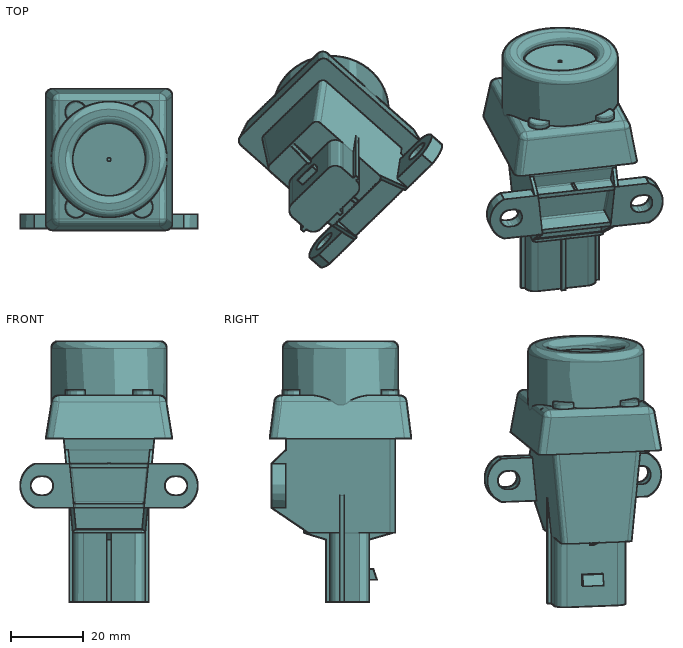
import cadquery as cq

TOTAL_HEIGHT = 72.0
BODY_BOTTOM = 19.1
COVER_BOTTOM = 45.1
COVER_TOP = 57.0

CUP_RADIUS = 16.0
CUP_RECESS_RADIUS = 10.0
CUP_RECESS_DEPTH = 3.0
CUP_ROUND = 2.0
PIN_HOLE_RADIUS = 0.5
PIN_HOLE_DEPTH = 0.5

COVER_BASE = (35.0, 39.2)
COVER_CROWN = (31.1, 36.15)
COVER_ROUND = 2.0
BOSS_RADIUS = 2.95
BOSS_HEIGHT = 1.5
BOSS_X = 9.15
BOSS_Y = 13.1
BOSS_ROUND = 0.3

BODY_HALF_TOP = 12.5
BODY_HALF_BOTTOM = 10.0
BODY_FRONT = -15.05
BODY_BACK = 15.1
BODY_BACK_ROUND = 1.6

CHEEK_THICKNESS = 1.0
CHEEK_FRONT = -19.1
CHEEK_TOP = 42.05
CHEEK_FOOT_Y = -8.85
LUG_TOP = 38.15
LUG_BOTTOM = 26.0
SHELF_THICKNESS = 1.15
SHELF_SETBACK = 0.5
POCKET_ROUND = 0.4
UPPER_POCKET_ROUND = 0.3
RIDGE_WIDTH = 0.7
RIDGE_HEIGHT = 0.15

LIP_FRONT = -10.15
LIP_TOP = 20.2
LIP_ROUND = 1.15

LUG_SPAN = 49.0
LUG_END_BULGE = 3.95
SLOT_X = 18.5
SLOT_LENGTH = 6.1
SLOT_WIDTH = 5.1

CONNECTOR_WIDTH = 2 * BODY_HALF_BOTTOM
CONNECTOR_FRONT = -2.95
CONNECTOR_BACK = 8.0
CONNECTOR_ROUND = 2.9
RIB_THICKNESS = 1.15
FRONT_RIB_HEIGHT = 1.1
SIDE_RIB_HALF_SPAN = 11.0
SIDE_RIB_Y = 0.4
SIDE_RIB_TOP = 29.5
GUSSET_DROP = 1.9
GUSSET_BACK = 14.55
LATCH_WIDTH = 5.75
LATCH_BOTTOM = 6.1
LATCH_TOP = 9.15
LATCH_TOP_REACH = 1.1
LATCH_BOTTOM_REACH = 2.1


def box_between(x_range, y_range, z_range):
    """Box given by its two limits along each axis."""
    spans = [high - low for low, high in (x_range, y_range, z_range)]
    corner = (x_range[0], y_range[0], z_range[0])
    return cq.Workplane("XY").box(*spans, centered=False).translate(corner)


def side_plate(points, width):
    """Plate with a (y, z) outline, centred on X = 0."""
    return cq.Workplane("YZ").polyline(points).close().extrude(width / 2, both=True)


def tapered_prism(inset=0.0):
    """Body taper seen along Y, moved inwards by inset, from the back to the cheek fronts."""
    top = BODY_HALF_TOP - inset
    bottom = BODY_HALF_BOTTOM - inset
    outline = [(-bottom, BODY_BOTTOM), (bottom, BODY_BOTTOM), (top, COVER_BOTTOM), (-top, COVER_BOTTOM)]
    prism = cq.Workplane("XZ").workplane(offset=-BODY_BACK).polyline(outline).close()
    return prism.extrude(BODY_BACK - CHEEK_FRONT)


def wall_y(z):
    """Y of the sloping wall between the cheeks at height z."""
    slope = (LIP_FRONT - BODY_FRONT) / (CHEEK_TOP - LIP_TOP)
    return BODY_FRONT + slope * (CHEEK_TOP - z)


def make_cup():
    cup = (
        cq.Workplane("XY").workplane(offset=COVER_BOTTOM)
        .circle(CUP_RADIUS).extrude(TOTAL_HEIGHT - COVER_BOTTOM)
        .faces(">Z").workplane().circle(CUP_RECESS_RADIUS).cutBlind(-CUP_RECESS_DEPTH)
        .faces(">Z").edges().fillet(CUP_ROUND)
    )
    floor = TOTAL_HEIGHT - CUP_RECESS_DEPTH
    hole = cq.Workplane("XY").workplane(offset=floor).circle(PIN_HOLE_RADIUS).extrude(-PIN_HOLE_DEPTH)
    return cup.cut(hole)


def make_cover():
    cover = (
        cq.Workplane("XY").workplane(offset=COVER_BOTTOM).rect(*COVER_BASE)
        .workplane(offset=COVER_TOP - COVER_BOTTOM).rect(*COVER_CROWN)
        .loft(ruled=True)
    )
    return cover.edges("not <Z").fillet(COVER_ROUND)


def make_bosses():
    corners = [(x, y) for x in (-BOSS_X, BOSS_X) for y in (-BOSS_Y, BOSS_Y)]
    bosses = cq.Workplane("XY").workplane(offset=COVER_TOP).pushPoints(corners)
    return bosses.circle(BOSS_RADIUS).extrude(BOSS_HEIGHT).faces(">Z").edges().fillet(BOSS_ROUND)


def make_body():
    profile = [
        (BODY_BACK, BODY_BOTTOM), (BODY_BACK, COVER_BOTTOM), (BODY_FRONT, COVER_BOTTOM),
        (BODY_FRONT, CHEEK_TOP), (CHEEK_FRONT, LUG_TOP), (CHEEK_FRONT, LUG_BOTTOM),
        (CHEEK_FOOT_Y, BODY_BOTTOM),
    ]
    body = tapered_prism().intersect(side_plate(profile, 2 * BODY_HALF_TOP))
    return body.faces(">Y").edges("not #Z").fillet(BODY_BACK_ROUND)


def make_lugs():
    tip = LUG_SPAN / 2
    straight_end = tip - LUG_END_BULGE
    middle = (LUG_TOP + LUG_BOTTOM) / 2
    plate = (
        cq.Workplane("XZ").workplane(offset=-BODY_FRONT)
        .moveTo(-straight_end, LUG_BOTTOM)
        .lineTo(straight_end, LUG_BOTTOM)
        .threePointArc((tip, middle), (straight_end, LUG_TOP))
        .lineTo(-straight_end, LUG_TOP)
        .threePointArc((-tip, middle), (-straight_end, LUG_BOTTOM))
        .close().extrude(BODY_FRONT - CHEEK_FRONT)
    )
    slots = (
        cq.Workplane("XZ").workplane(offset=-BODY_FRONT)
        .pushPoints([(-SLOT_X, middle), (SLOT_X, middle)])
        .slot2D(SLOT_LENGTH, SLOT_WIDTH).extrude(BODY_FRONT - CHEEK_FRONT)
    )
    return plate.cut(slots)


def make_pocket(bottom, top):
    """Room between the cheeks from the sloping wall forwards, between two heights."""
    outline = [(CHEEK_FRONT, bottom), (wall_y(bottom), bottom), (wall_y(top), top), (CHEEK_FRONT, top)]
    return tapered_prism(CHEEK_THICKNESS).intersect(side_plate(outline, 2 * BODY_HALF_TOP))


def make_shelf_setback():
    """Shallow cut that sets the shelf fronts back from the lug faces, with round inner corners."""
    slab = box_between(
        (-BODY_HALF_TOP, BODY_HALF_TOP),
        (CHEEK_FRONT, CHEEK_FRONT + SHELF_SETBACK),
        (LUG_BOTTOM, LUG_TOP),
    )
    slab = tapered_prism(CHEEK_THICKNESS).intersect(slab)
    return slab.faces(">Y").edges("not #Z").fillet(POCKET_ROUND)


def make_pockets():
    upper = make_pocket(LUG_TOP, CHEEK_TOP)
    upper = upper.faces("<Z").edges(">Y").fillet(UPPER_POCKET_ROUND)
    middle = make_pocket(LUG_BOTTOM + SHELF_THICKNESS, LUG_TOP - SHELF_THICKNESS)
    middle = middle.faces(">Y").edges("not >Z").fillet(POCKET_ROUND)
    lower = make_pocket(LIP_TOP, LUG_BOTTOM)
    return upper.union(middle).union(lower).union(make_shelf_setback())


def make_ridge():
    """Low ridge across the middle of the upper shelf, from the wall to the shelf front."""
    return box_between(
        (-RIDGE_WIDTH / 2, RIDGE_WIDTH / 2),
        (CHEEK_FRONT + SHELF_SETBACK, wall_y(LUG_TOP - SHELF_THICKNESS)),
        (LUG_TOP - SHELF_THICKNESS, LUG_TOP + RIDGE_HEIGHT),
    )


def make_lip():
    lip = box_between(
        (-BODY_HALF_BOTTOM, BODY_HALF_BOTTOM), (LIP_FRONT, 0), (BODY_BOTTOM, LIP_TOP)
    )
    return lip.edges("|Z and <Y").fillet(LIP_ROUND)


def make_connector():
    middle_y = (CONNECTOR_FRONT + CONNECTOR_BACK) / 2
    shell = (
        cq.Workplane("XY").center(0, middle_y)
        .rect(CONNECTOR_WIDTH, CONNECTOR_BACK - CONNECTOR_FRONT).extrude(BODY_BOTTOM)
        .edges("|Z").fillet(CONNECTOR_ROUND)
    )
    side_ribs = box_between(
        (-SIDE_RIB_HALF_SPAN, SIDE_RIB_HALF_SPAN),
        (SIDE_RIB_Y - RIB_THICKNESS / 2, SIDE_RIB_Y + RIB_THICKNESS / 2),
        (0, SIDE_RIB_TOP),
    )
    rib_front = CONNECTOR_FRONT - FRONT_RIB_HEIGHT
    gusset_bottom = BODY_BOTTOM - GUSSET_DROP
    centre_rib = side_plate(
        [
            (rib_front, 0), (rib_front, gusset_bottom), (LIP_FRONT, BODY_BOTTOM),
            (GUSSET_BACK, BODY_BOTTOM), (CONNECTOR_BACK, gusset_bottom), (CONNECTOR_BACK, 0),
        ],
        RIB_THICKNESS,
    )
    latch = side_plate(
        [
            (middle_y, LATCH_BOTTOM), (CONNECTOR_BACK + LATCH_BOTTOM_REACH, LATCH_BOTTOM),
            (CONNECTOR_BACK + LATCH_TOP_REACH, LATCH_TOP), (middle_y, LATCH_TOP),
        ],
        LATCH_WIDTH,
    )
    return shell.union(side_ribs).union(centre_rib).union(latch)


housing = make_body().union(make_lugs()).cut(make_pockets()).union(make_lip()).union(make_ridge())
head = make_cover().union(make_bosses()).union(make_cup())
result = housing.union(make_connector()).union(head)